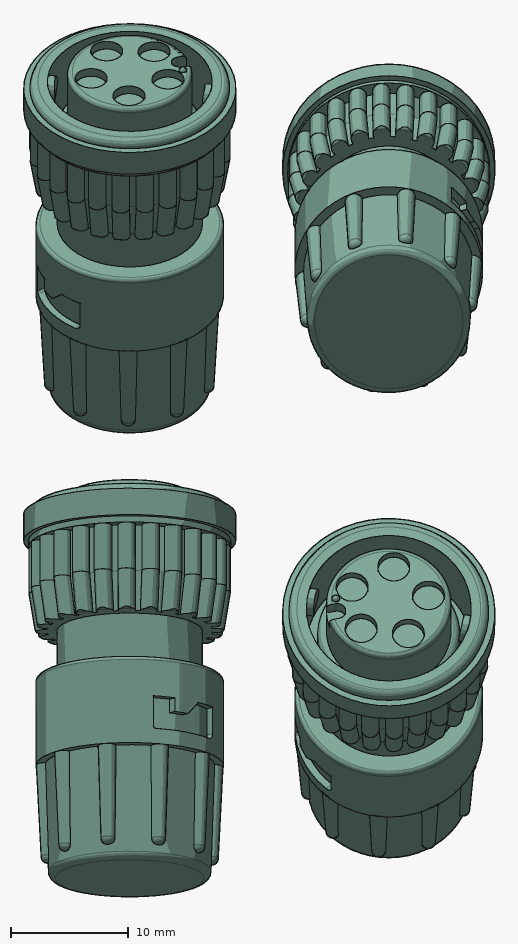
import cadquery as cq


grip_radius = 6.9
grip_edge_fillet = 0.6
grip_top_radius = 7.23
collar_radius = 7.98
collar_bottom = 9.85
collar_top = 17.48
collar_fillet = 0.35
grip_rib_count = 10
grip_rib_bottom = 1.25
grip_rib_line = 1.83
grip_rib_end_fillet = 0.55
grip_rib_small_radius = 0.6
grip_rib_large_radius = 0.78
grip_rib_small_offset = 6.92
grip_rib_large_offset = 7.15

bayonet_turn = 22.0
slot_depth = 0.65
slot_left = -3.75
slot_right = 2.6
slot_bottom = 11.15
slot_top = 14.02
tab_bottom = 12.83
tab_left = -1.9
tab_right = -0.6
tab_slope_end = 0.65
slot_corner_radius = 0.55
slot_small_radius = 0.2

neck_radius = 6.18

ring_bottom = 21.65
ring_knee = 25.0
ring_rib_top = 29.02
flange_bottom = 29.55
flange_top = 31.87
ring_top = 32.58
lip_fillet = 0.68
flange_diameter = 18.02
band_radius = 8.6
ring_lip_radius = 8.5
ring_radius = 8.55
ring_bore_radius = 7.0
ring_root_radius = 7.6
ring_lean = 0.55
ring_bottom_round = 0.3
ring_clearance = 0.05
ring_rib_count = 24
ring_rib_radius = 0.75

well_floor = 25.8
shoulder_top = 28.5
shoulder_radius = 6.05
insert_top = 33.67
insert_radius = 5.3
insert_fillet = 0.4
contact_count = 5
contact_radius = 1.35
contact_circle_radius = 3.43
contact_depth = 0.8
key_width = 1.43
key_inner_end = 3.75
key_depth = 1.35
dot_radius = 0.35
dot_x = 1.2
dot_y = 4.35
dot_top = 33.95

lug_radius = 1.15
lug_height = 0.6
lug_z = 31.3


def cylinder(radius, bottom, top):
    return cq.Workplane("XY").workplane(offset=bottom).circle(radius).extrude(top - bottom)


def cone(bottom_radius, top_radius, bottom, top, offset_bottom=0, offset_top=0):
    """Round bar between two horizontal circles, each shifted along X."""
    return (
        cq.Workplane("XY", origin=(offset_bottom, 0, bottom))
        .circle(bottom_radius)
        .workplane(offset=top - bottom)
        .center(offset_top - offset_bottom, 0)
        .circle(top_radius)
        .loft(combine=True)
    )


def turned(body, angle):
    return body.rotate((0, 0, 0), (0, 0, 1), angle)


def repeated(body, count, start):
    """Equally spaced copies of a body around Z, fused together."""
    copies = turned(body, start)
    for index in range(1, count):
        copies = copies.union(turned(body, start + index * 360 / count))
    return copies


def grip():
    body = cone(grip_radius, grip_top_radius, 0, collar_bottom)
    body = body.faces("<Z").edges().fillet(grip_edge_fillet)
    rib = cone(
        grip_rib_small_radius,
        grip_rib_large_radius,
        grip_rib_line,
        collar_bottom,
        -grip_rib_small_offset,
        -grip_rib_large_offset,
    )
    rib_end = (
        cq.Workplane("XY", origin=(-grip_rib_small_offset, 0, grip_rib_bottom))
        .circle(grip_rib_small_radius)
        .extrude(grip_rib_line - grip_rib_bottom)
        .faces("<Z").edges().fillet(grip_rib_end_fillet)
    )
    return body.union(repeated(rib.union(rib_end), grip_rib_count, 90))


def bayonet_slot():
    """Slot on the -Y side with a tab hanging from its upper edge."""
    slot_reach = 2 * collar_radius
    outline = (
        cq.Workplane("XZ")
        .moveTo(slot_left, slot_bottom + slot_small_radius)
        .radiusArc((slot_left + slot_small_radius, slot_bottom), -slot_small_radius)
        .lineTo(slot_right - slot_corner_radius, slot_bottom)
        .radiusArc((slot_right, slot_bottom + slot_corner_radius), -slot_corner_radius)
        .lineTo(slot_right, slot_top)
        .lineTo(tab_slope_end, slot_top)
        .lineTo(tab_right, tab_bottom)
        .lineTo(tab_left, tab_bottom)
        .lineTo(tab_left, slot_top)
        .lineTo(slot_left, slot_top)
        .close()
        .extrude(slot_reach)
    )
    floor = cylinder(collar_radius - slot_depth, collar_bottom, collar_top)
    return turned(outline.cut(floor), bayonet_turn)


def collar():
    body = cylinder(collar_radius, collar_bottom, collar_top).faces(">Z").edges().fillet(collar_fillet)
    return body.cut(repeated(bayonet_slot(), 2, 0))


def coupling_ring():
    head = cylinder(flange_diameter / 2, flange_bottom, flange_top)
    band = cylinder(band_radius, ring_rib_top, flange_bottom)
    lip = cylinder(ring_lip_radius, flange_top, ring_top).faces(">Z").edges().fillet(lip_fillet)

    rib_circle_radius = ring_radius - ring_rib_radius
    pitch = 360 / ring_rib_count
    rib = cylinder(ring_rib_radius, ring_knee, ring_rib_top).translate((-rib_circle_radius, 0, 0))
    upper = cylinder(ring_root_radius, ring_knee, ring_rib_top)
    upper = upper.union(repeated(rib, ring_rib_count, pitch / 2))

    knee_height = ring_knee - ring_bottom
    leaning_rib = cq.Workplane(
        cq.Solid.makeCylinder(
            ring_rib_radius,
            3 * knee_height,
            cq.Vector(2 * ring_lean - rib_circle_radius, 0, ring_knee - 2 * knee_height),
            cq.Vector(-ring_lean, 0, knee_height),
        )
    )
    envelope_radius = ring_radius + ring_clearance
    envelope = cone(envelope_radius - ring_lean, envelope_radius, ring_bottom, ring_knee)
    envelope = envelope.faces("<Z").edges().fillet(ring_bottom_round)
    lower = cone(ring_root_radius - ring_lean, ring_root_radius, ring_bottom, ring_knee)
    lower = lower.union(repeated(leaning_rib, ring_rib_count, pitch / 2).intersect(envelope))
    ribbed = upper.union(lower)

    ring = head.union(band).union(lip).union(ribbed)
    return ring.cut(cylinder(ring_bore_radius, well_floor, ring_top))


def lugs():
    """Radial pins sunk halfway into the ring wall, with rounded inner faces."""
    lug_outer_end = (ring_bore_radius + ring_lip_radius) / 2
    pin = cq.Workplane("XZ").center(0, lug_z).circle(lug_radius).extrude(lug_outer_end)
    pin = pin.cut(cylinder(ring_bore_radius - lug_height, well_floor, ring_top))
    return repeated(pin, 2, -bayonet_turn)


def insert():
    shoulder = cylinder(shoulder_radius, well_floor, shoulder_top)
    shoulder = shoulder.faces(">Z").edges().fillet(shoulder_radius - insert_radius)
    plug = cylinder(insert_radius, well_floor, insert_top).faces(">Z").edges().fillet(insert_fillet)

    contacts = (
        cq.Workplane("XY", origin=(0, 0, insert_top - contact_depth))
        .polarArray(contact_circle_radius, -90, 360, contact_count)
        .circle(contact_radius)
        .extrude(contact_depth)
    )
    key_end_center = key_inner_end + key_width / 2
    key = (
        cq.Workplane("XY", origin=(0, 0, insert_top - key_depth))
        .moveTo(key_width / 2, key_end_center)
        .threePointArc((0, key_inner_end), (-key_width / 2, key_end_center))
        .lineTo(-key_width / 2, insert_radius)
        .lineTo(key_width / 2, insert_radius)
        .close()
        .extrude(key_depth)
    )
    dot = cq.Workplane("XY", origin=(dot_x, dot_y, dot_top - dot_radius)).sphere(dot_radius)
    return shoulder.union(plug).cut(contacts).cut(key).union(dot)


neck = cylinder(neck_radius, collar_top, well_floor)

result = (
    grip()
    .union(collar())
    .union(neck)
    .union(coupling_ring())
    .union(lugs())
    .union(insert())
)